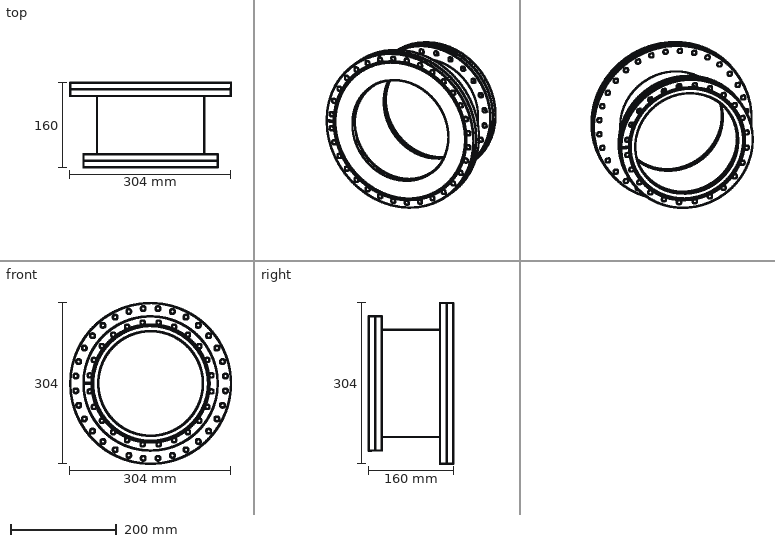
import cadquery as cq
import math

OVERALL_LENGTH = 160.0
RING_THICKNESS = 25.0
LARGE_FLANGE_THICKNESS = 25.5
FRONT_FACE_Y = -OVERALL_LENGTH / 2
REAR_FACE_Y = OVERALL_LENGTH / 2

TUBE_OD = 203.0
TUBE_ID = 197.0
TUBE_SOCKET_DEPTH = 12.5

RING_OD = 254.0
LARGE_FLANGE_OD = 304.0
EDGE_CHAMFER = 0.5
RIM_GROOVE_WIDTH = 1.0
RIM_GROOVE_DEPTH = 0.3

FLANGE_BORE = 198.5
RING_TUBE_BORE = 203.7
INSERT_OD = 222.0
RING_INSERT_BORE = 222.2

LARGE_RECESS_DIAMETER = 273.0
SEAL_DEPTH = 1.2
SEAL_SLOPE_WIDTH = 2.7
SEAL_SLOPE_ANGLE = 20
SEAL_SLOPE_DROP = SEAL_SLOPE_WIDTH * math.tan(math.radians(SEAL_SLOPE_ANGLE))

BOLT_HOLE_DIAMETER = 8.5
RING_BOLT_CIRCLE = 231.5
RING_BOLT_COUNT = 24
LARGE_BOLT_CIRCLE = 284.0
LARGE_BOLT_COUNT = 32

LEAK_GROOVE_RADIUS = 2.0
LEAK_GROOVE_DEPTH = 0.5


def revolve_profile(points):
    """Revolve (radius, depth) points round the Y axis, with depth growing towards +Y."""
    return cq.Workplane("XY").polyline(points).close().revolve(360, (0, 0, 0), (0, 1, 0))


def rim_points(outer_diameter, thickness, chamfer_back):
    """Rim outline from the sealing end to the back: chamfers and the square middle groove."""
    radius = outer_diameter / 2
    groove_radius = radius - RIM_GROOVE_DEPTH
    groove_start = (thickness - RIM_GROOVE_WIDTH) / 2
    groove_end = (thickness + RIM_GROOVE_WIDTH) / 2
    points = [
        (radius - EDGE_CHAMFER, 0),
        (radius, EDGE_CHAMFER),
        (radius, groove_start),
        (groove_radius, groove_start),
        (groove_radius, groove_end),
        (radius, groove_end),
    ]
    if chamfer_back:
        points += [
            (radius, thickness - EDGE_CHAMFER),
            (radius - EDGE_CHAMFER, thickness),
        ]
    else:
        points.append((radius, thickness))
    return points


def seal_points(outer_diameter):
    """Flat sealing land from the bore outwards, then the slope falling to the outer diameter."""
    radius = outer_diameter / 2
    return [
        (FLANGE_BORE / 2, SEAL_DEPTH),
        (radius - SEAL_SLOPE_WIDTH, SEAL_DEPTH),
        (radius, SEAL_DEPTH + SEAL_SLOPE_DROP),
    ]


def cut_bolt_holes(flange, thickness, circle_diameter, count):
    """Cut a ring of through holes, placed so that the X and Z axes fall between two holes."""
    holes = (
        cq.Workplane("XZ")
        .polarArray(circle_diameter / 2, 180 / count, 360, count)
        .circle(BOLT_HOLE_DIAMETER / 2)
        .extrude(-thickness)
    )
    return flange.cut(holes)


def cut_leak_grooves(flange, outer_diameter, inner_diameter):
    """Cut a shallow radial groove on the -X and +X sides, from the recess to the rim."""
    length = (outer_diameter - inner_diameter + SEAL_SLOPE_WIDTH) / 2
    axis_depth = LEAK_GROOVE_DEPTH - LEAK_GROOVE_RADIUS
    for side in (-1, 1):
        groove = (
            cq.Workplane("YZ", origin=(side * outer_diameter / 2, 0, 0))
            .center(axis_depth, 0)
            .circle(LEAK_GROOVE_RADIUS)
            .extrude(-side * length)
        )
        flange = flange.cut(groove)
    return flange


def make_ring():
    """Rotatable bolt ring that surrounds the insert and clears the tube."""
    profile = rim_points(RING_OD, RING_THICKNESS, True) + [
        (RING_TUBE_BORE / 2, RING_THICKNESS),
        (RING_TUBE_BORE / 2, TUBE_SOCKET_DEPTH),
        (RING_INSERT_BORE / 2, TUBE_SOCKET_DEPTH),
        (RING_INSERT_BORE / 2, EDGE_CHAMFER),
        (RING_INSERT_BORE / 2 + EDGE_CHAMFER, 0),
    ]
    ring = cut_bolt_holes(revolve_profile(profile), RING_THICKNESS, RING_BOLT_CIRCLE, RING_BOLT_COUNT)
    ring = cut_leak_grooves(ring, RING_OD, RING_INSERT_BORE)
    return ring.translate((0, FRONT_FACE_Y, 0))


def make_insert():
    """Sealing insert inside the ring, against the end of the tube."""
    profile = seal_points(INSERT_OD) + [
        (INSERT_OD / 2, TUBE_SOCKET_DEPTH),
        (FLANGE_BORE / 2, TUBE_SOCKET_DEPTH),
    ]
    return revolve_profile(profile).translate((0, FRONT_FACE_Y, 0))


def make_large_flange():
    """Fixed flange with a recessed sealing face and a socket for the tube."""
    profile = (
        seal_points(LARGE_RECESS_DIAMETER)
        + [
            (LARGE_RECESS_DIAMETER / 2, EDGE_CHAMFER),
            (LARGE_RECESS_DIAMETER / 2 + EDGE_CHAMFER, 0),
        ]
        + rim_points(LARGE_FLANGE_OD, LARGE_FLANGE_THICKNESS, False)
        + [
            (TUBE_OD / 2, LARGE_FLANGE_THICKNESS),
            (TUBE_OD / 2, TUBE_SOCKET_DEPTH),
            (FLANGE_BORE / 2, TUBE_SOCKET_DEPTH),
        ]
    )
    flange = revolve_profile(profile)
    flange = cut_bolt_holes(flange, LARGE_FLANGE_THICKNESS, LARGE_BOLT_CIRCLE, LARGE_BOLT_COUNT)
    flange = cut_leak_grooves(flange, LARGE_FLANGE_OD, LARGE_RECESS_DIAMETER)
    return flange.rotate((0, 0, 0), (0, 0, 1), 180).translate((0, REAR_FACE_Y, 0))


def make_tube():
    """Plain tube between the insert and the shoulder of the large flange."""
    length = OVERALL_LENGTH - 2 * TUBE_SOCKET_DEPTH
    start_y = FRONT_FACE_Y + TUBE_SOCKET_DEPTH
    return (
        cq.Workplane("XZ", origin=(0, start_y, 0))
        .circle(TUBE_OD / 2)
        .circle(TUBE_ID / 2)
        .extrude(-length)
    )


ring = make_ring()
insert = make_insert()
large_flange = make_large_flange()
tube = make_tube()

result = cq.Compound.makeCompound([ring.val(), insert.val(), large_flange.val(), tube.val()])